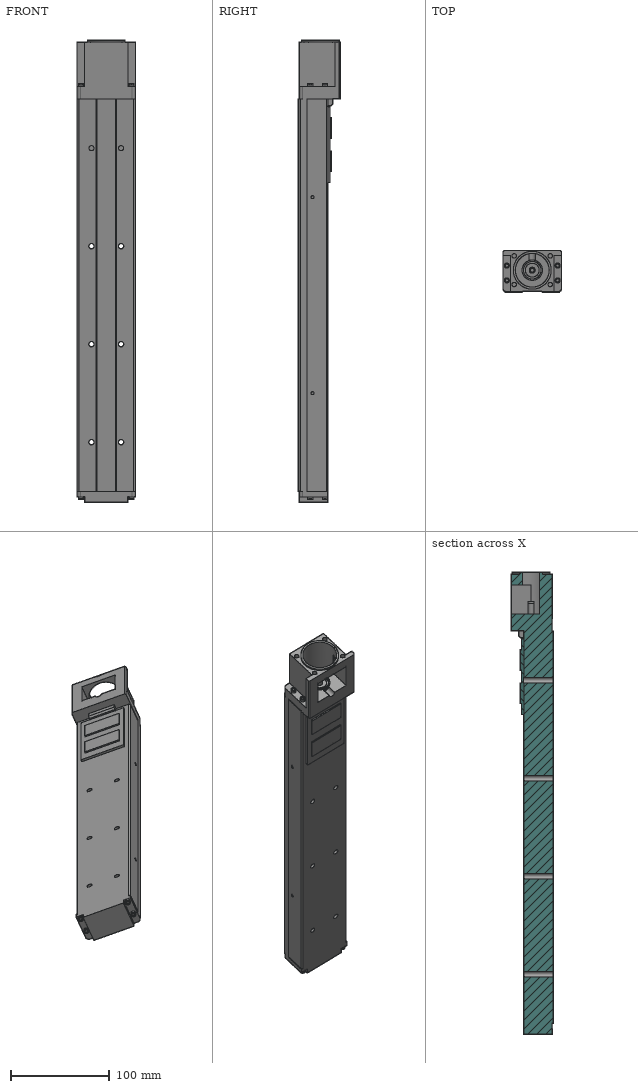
import cadquery as cq


total_length = 471.0
width = 60.0
half_width = width / 2

rail_start = 11.5
rail_length = 400.0
rail_end = rail_start + rail_length
rail_middle = rail_start + rail_length / 2
rail_front = -22.5
rail_back = 7.5
rail_front_chamfer = 2.5
rail_back_chamfer = 1.5
side_step_y = -13.5
side_step_depth = 0.5
recess_width = 21.0
recess_depth = 1.2

mount_hole_diameter = 5.0
mount_hole_x = 15.0
mount_hole_pitch = 100.0
mount_hole_rows = 4
side_hole_diameter = 3.0
side_hole_depth = 4.5
side_hole_y = -8.0
side_hole_pitch = 2 * mount_hole_pitch

block_front = -21.5
block_half_width = 22.0
flange_front_radius = 3.55
end_flange_start = 5.5
motor_flange_end = 424.0
lip_height = 2.0
housing_end = total_length - lip_height
housing_back = 20.3
wall_front = 15.0
wall_corner_chamfer = 1.5

screw_diameter = 5.0
screw_height = 3.0
screw_x = 26.0
screw_ys = (-10.5, 4.5)
socket_size = 3.0
socket_depth = 1.5

lip_diameter = 38.5
bore_diameter = 34.5
bore_depth = 11.5
chamber_floor = 428.5
window_width = 36.7
motor_hole_diameter = 4.5
motor_hole_depth = 9.5
motor_hole_x = 18.5
motor_hole_y = 14.5
bearing_seat_diameter = 20.5
bearing_seat_depth = 1.5
bearing_collar_outer = 18.0
bearing_collar_inner = 14.0
bearing_collar_height = 1.0
shaft_diameter = 6.0
shaft_length = 14.0
shaft_bore_diameter = 4.0
shaft_bore_depth = 2.5
drain_diameter = 6.5

bumper_width = 28.3
bumper_thickness = 7.0
bumper_back = 12.5
bumper_chamfer = 2.0

carriage_middle = 364.5
carriage_length = 77.2
carriage_width = 47.0
carriage_back = 10.0
pad_length = 21.0
pad_gap = 12.5
pad_width = 37.5
pad_height = 1.5


def box(x_size, y_start, y_end, z_start, z_end):
    """Box centred on X = 0 between the given Y and Z limits."""
    return (
        cq.Workplane("XY", origin=(0, 0, z_start))
        .center(0, (y_start + y_end) / 2)
        .rect(x_size, y_end - y_start)
        .extrude(z_end - z_start)
    )


def cylinder(diameter, z_start, z_end, points=((0, 0),)):
    """Cylinders along Z, one at each XY point."""
    return (
        cq.Workplane("XY", origin=(0, 0, z_start))
        .pushPoints(points)
        .circle(diameter / 2)
        .extrude(z_end - z_start)
    )


def make_rail():
    """Extruded rail with a recessed front strip, cross holes and side holes."""
    inner_half = half_width - side_step_depth
    right_side = [
        (recess_width / 2 - recess_depth, rail_front + recess_depth),
        (recess_width / 2, rail_front),
        (half_width - rail_front_chamfer, rail_front),
        (half_width, rail_front + rail_front_chamfer),
        (half_width, side_step_y),
        (inner_half, side_step_y),
        (inner_half, rail_back - rail_back_chamfer),
        (inner_half - rail_back_chamfer, rail_back),
    ]
    left_side = [(-x, y) for x, y in reversed(right_side)]
    rail = (
        cq.Workplane("XY", origin=(0, 0, rail_start))
        .polyline(right_side + left_side)
        .close()
        .extrude(rail_length)
    )
    mount_holes = (
        cq.Workplane("XZ", origin=(0, rail_back, rail_middle))
        .rarray(2 * mount_hole_x, mount_hole_pitch, 2, mount_hole_rows)
        .circle(mount_hole_diameter / 2)
        .extrude(rail_back - rail_front)
    )
    side_holes = (
        cq.Workplane("YZ", origin=(-half_width, side_hole_y, rail_middle))
        .rarray(4.5, side_hole_pitch, 1, 2)
        .circle(side_hole_diameter / 2)
        .extrude(side_hole_depth)
    )
    return rail.cut(mount_holes).cut(side_holes).cut(side_holes.mirror("YZ"))


def make_flange(y_end, z_start, z_end):
    """Full-width flange with rounded front corners."""
    flange = box(width, block_front, y_end, z_start, z_end)
    return flange.edges("|Z and <Y").fillet(flange_front_radius)


def make_screw_heads(face_z, direction):
    """Four socket screw heads standing on a flange face, along +Z or -Z."""
    points = [(x, y) for x in (-screw_x, screw_x) for y in screw_ys]
    heads = (
        cq.Workplane("XY", origin=(0, 0, face_z))
        .pushPoints(points)
        .circle(screw_diameter / 2)
        .extrude(direction * screw_height)
    )
    sockets = (
        cq.Workplane("XY", origin=(0, 0, face_z + direction * screw_height))
        .pushPoints(points)
        .polygon(6, socket_size, circumscribed=True)
        .extrude(-direction * socket_depth)
    )
    return heads.cut(sockets)


def make_end_cap():
    """End cap closing the rail, with its screw heads."""
    flange = make_flange(rail_back, end_flange_start, rail_start)
    block = box(2 * block_half_width, block_front, rail_back, 0, end_flange_start)
    return flange.union(block).union(make_screw_heads(end_flange_start, -1))


def make_motor_housing():
    """Motor housing: flange, block, wide back wall, seat lip, chamber and screw heads."""
    flange = make_flange(housing_back, rail_end, motor_flange_end)
    block = box(2 * block_half_width, block_front, wall_front, motor_flange_end, housing_end)
    wall = box(width, wall_front, housing_back, motor_flange_end, housing_end)
    housing = flange.union(block).union(wall)
    housing = housing.edges("|Z and >Y").chamfer(wall_corner_chamfer)
    housing = housing.union(cylinder(lip_diameter, housing_end, total_length))
    housing = housing.cut(cylinder(bore_diameter, chamber_floor, total_length))

    window = box(window_width, 0, housing_back, chamber_floor, housing_end - bore_depth)
    housing = housing.cut(window)

    motor_hole_points = [(x, y) for x in (-motor_hole_x, motor_hole_x) for y in (-motor_hole_y, motor_hole_y)]
    housing = housing.cut(
        cylinder(motor_hole_diameter, housing_end - motor_hole_depth, total_length, motor_hole_points)
    )

    seat_floor = chamber_floor - bearing_seat_depth
    housing = housing.cut(cylinder(bearing_seat_diameter, seat_floor, chamber_floor))
    drain = (
        cq.Workplane("XZ", origin=(0, bearing_seat_diameter / 2, chamber_floor))
        .circle(drain_diameter / 2)
        .extrude(-housing_back)
    )
    housing = housing.cut(drain)
    collar_top = seat_floor + bearing_collar_height
    collar = cylinder(bearing_collar_outer, seat_floor, collar_top)
    collar = collar.cut(cylinder(bearing_collar_inner, seat_floor, collar_top))
    shaft_end = seat_floor + shaft_length
    shaft = cylinder(shaft_diameter, seat_floor, shaft_end)
    shaft = shaft.cut(cylinder(shaft_bore_diameter, shaft_end - shaft_bore_depth, shaft_end))
    housing = housing.union(collar).union(shaft)
    return housing.union(make_screw_heads(motor_flange_end, 1))


def make_bumper():
    """Carriage bumper under the motor flange."""
    bumper = box(bumper_width, rail_back, bumper_back, rail_end - bumper_thickness, rail_end)
    return bumper.edges("|X and >Y and <Z").chamfer(bumper_chamfer)


def make_carriage():
    """Carriage plate on the back of the rail, with two raised pads."""
    plate_start = carriage_middle - carriage_length / 2
    plate = box(carriage_width, rail_back, carriage_back, plate_start, plate_start + carriage_length)
    pad_offset = (pad_length + pad_gap) / 2
    for middle in (carriage_middle - pad_offset, carriage_middle + pad_offset):
        pad_start = middle - pad_length / 2
        pad = box(pad_width, carriage_back, carriage_back + pad_height, pad_start, pad_start + pad_length)
        plate = plate.union(pad)
    return plate


actuator = make_rail().union(make_end_cap()).union(make_motor_housing()).union(make_bumper())
carriage = make_carriage()

result = cq.Compound.makeCompound([actuator.val(), carriage.val()])